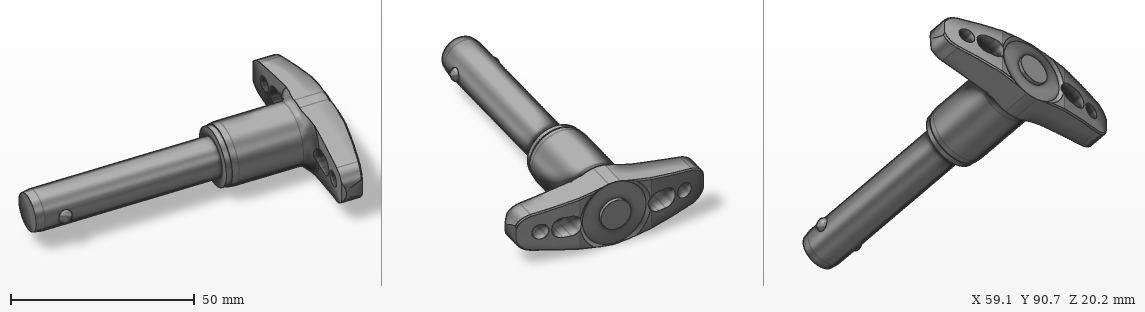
import cadquery as cq
import math

button_top_y = 35.1
overall_length = 90.7
tip_y = button_top_y - overall_length

handle_length = 59.1
handle_half = handle_length / 2
hub_radius = 10.08
handle_width = 2 * hub_radius
end_radius = 5.9
end_center_x = handle_half - end_radius
crown_y = 34.8
crown_flat_half = 11.0
crown_end_y = 31.5
crown_bulge = 0.3
underside_mid_y = 26.42
underside_end_y = 25.35
rim_chamfer = 0.4

tip_ridge_y = 26.3
upper_flat_inset = 0.75
lower_flat_inset = 1.1

hole_x = 22.15
hole_diameter = 4.7
slot_inner_x = 10.25
slot_outer_x = 19.0
slot_width = 6.3

button_radius = 4.6
dish_rim_radius = 10.9
dish_floor_radius = 9.8
dish_depth = 0.8

neck_radius = 9.2
neck_flare_radius = 3.25
flare_start_y = 22.95
flare_overlap = 1.0
neck_end_y = 3.6
neck_taper_radius = 8.95
collar_y = 1.7
collar_radius = 8.7
shank_radius = 6.0
tip_chamfer_length = 2.5
tip_radius = 5.6

ball_y = tip_y + 8.56
ball_radius = 2.15
ball_reach = 7.35


def revolve_about_pin(profile):
    """Close a (radius, Y) half-profile and turn it around the pin axis."""
    return profile.close().revolve(360, (0, 0, 0), (0, 1, 0))


def handle_outline():
    """Hub circle joined to two smaller end circles by tangent lines, extruded along Y."""
    lean = math.asin((hub_radius - end_radius) / end_center_x)
    hub_x = hub_radius * math.sin(lean)
    hub_z = hub_radius * math.cos(lean)
    end_x = end_center_x + end_radius * math.sin(lean)
    end_z = end_radius * math.cos(lean)
    return (
        cq.Workplane("XZ", origin=(0, button_top_y, 0))
        .moveTo(-hub_x, hub_z)
        .threePointArc((0, hub_radius), (hub_x, hub_z))
        .lineTo(end_x, end_z)
        .threePointArc((handle_half, 0), (end_x, -end_z))
        .lineTo(hub_x, -hub_z)
        .threePointArc((0, -hub_radius), (-hub_x, -hub_z))
        .lineTo(-end_x, -end_z)
        .threePointArc((-handle_half, 0), (-end_x, end_z))
        .close()
        .extrude(button_top_y)
    )


def handle_side_profile():
    """Crowned top, slightly hollow underside and slanted flats at both tips."""
    upper_x = handle_half - upper_flat_inset
    lower_x = handle_half - lower_flat_inset
    crown_mid_x = (crown_flat_half + upper_x) / 2
    crown_mid_y = (crown_y + crown_end_y) / 2 + crown_bulge
    return (
        cq.Workplane("XY", origin=(0, 0, -hub_radius))
        .moveTo(-crown_flat_half, crown_y)
        .lineTo(crown_flat_half, crown_y)
        .threePointArc((crown_mid_x, crown_mid_y), (upper_x, crown_end_y))
        .lineTo(handle_half, tip_ridge_y)
        .lineTo(lower_x, underside_end_y)
        .threePointArc((0, underside_mid_y), (-lower_x, underside_end_y))
        .lineTo(-handle_half, tip_ridge_y)
        .lineTo(-upper_x, crown_end_y)
        .threePointArc((-crown_mid_x, crown_mid_y), (-crown_flat_half, crown_y))
        .close()
        .extrude(handle_width)
    )


def make_handle():
    """Handle blank with the rim of its crowned top chamfered all round."""
    handle = handle_outline().intersect(handle_side_profile())
    crown_zone = cq.selectors.BoxSelector(
        (-handle_half, crown_end_y, -hub_radius), (handle_half, button_top_y, hub_radius)
    )
    return handle.faces(crown_zone).edges("not |Z").chamfer(rim_chamfer)


def neck_flare():
    """Concave flare from the neck into the underside, trimmed to the handle outline."""
    flare_outer = neck_radius + neck_flare_radius
    flare_top_y = flare_start_y + neck_flare_radius
    diagonal = neck_flare_radius * (1 - math.sqrt(0.5))
    flare = revolve_about_pin(
        cq.Workplane("XY")
        .moveTo(0, flare_start_y)
        .lineTo(neck_radius, flare_start_y)
        .threePointArc((neck_radius + diagonal, flare_top_y - diagonal), (flare_outer, flare_top_y))
        .lineTo(flare_outer, flare_top_y + flare_overlap)
        .lineTo(0, flare_top_y + flare_overlap)
    )
    return flare.intersect(handle_outline())


def neck_and_shank():
    """Neck, tapered shoulder, collar and shank with its chamfered tip, turned as one profile."""
    return revolve_about_pin(
        cq.Workplane("XY")
        .moveTo(0, flare_start_y)
        .lineTo(neck_radius, flare_start_y)
        .lineTo(neck_radius, neck_end_y)
        .lineTo(neck_taper_radius, collar_y)
        .lineTo(collar_radius, collar_y)
        .lineTo(collar_radius, 0)
        .lineTo(shank_radius, 0)
        .lineTo(shank_radius, tip_y + tip_chamfer_length)
        .lineTo(tip_radius, tip_y)
        .lineTo(0, tip_y)
    )


def dish():
    """Cutter for the shallow round dish with a sloping wall."""
    return revolve_about_pin(
        cq.Workplane("XY")
        .moveTo(0, crown_y - dish_depth)
        .lineTo(dish_floor_radius, crown_y - dish_depth)
        .lineTo(dish_rim_radius, crown_y)
        .lineTo(0, crown_y)
    )


def button():
    """Disc standing on the dish floor."""
    height = button_top_y - crown_y + dish_depth
    return cq.Workplane("XZ", origin=(0, button_top_y, 0)).circle(button_radius).extrude(height)


def handle_openings():
    """A slot and a round hole on each side of the hub, right through the handle."""
    slot_length = slot_outer_x - slot_inner_x
    slot_x = (slot_outer_x + slot_inner_x) / 2
    plane = cq.Workplane("XZ", origin=(0, button_top_y, 0))
    slots = plane.pushPoints([(-slot_x, 0), (slot_x, 0)]).slot2D(slot_length, slot_width)
    slots = slots.extrude(button_top_y)
    holes = plane.pushPoints([(-hole_x, 0), (hole_x, 0)]).circle(hole_diameter / 2)
    holes = holes.extrude(button_top_y)
    return slots.union(holes)


def locking_balls():
    """Two balls standing proud of the shank at -X and +X."""
    ball_x = ball_reach - ball_radius
    return (
        cq.Workplane("XY")
        .pushPoints([(-ball_x, ball_y), (ball_x, ball_y)])
        .sphere(ball_radius)
    )


handle = make_handle().cut(dish()).union(button()).union(neck_flare())
pin = neck_and_shank().union(locking_balls())
result = handle.union(pin).cut(handle_openings())